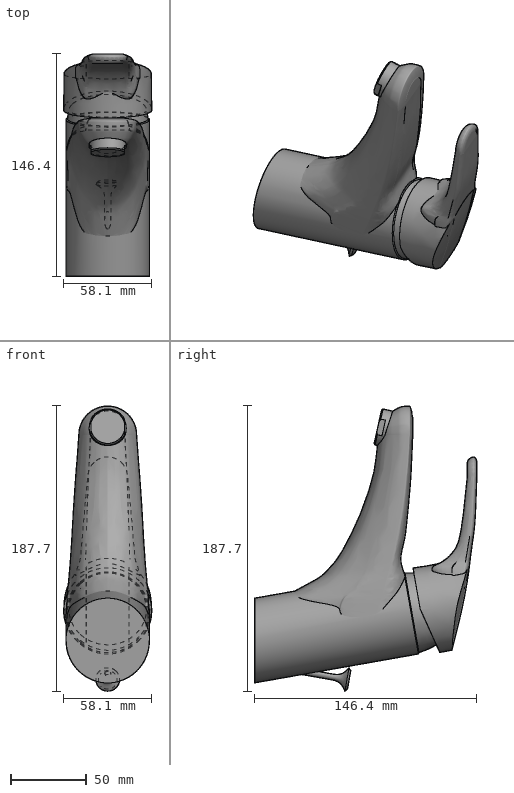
import cadquery as cq
import math


CORNER_STEPS = 4

TILT = 10.0
BODY_RADIUS = 27.5
BODY_END = 105.2
BODY_EDGE = 0.6
BODY_OVERRUN = 10.0
NECK_RADIUS = 26.6
NECK_TIP_RADIUS = 22.8
NECK_BULGE = 0.6
NECK_TIP = 119.0

CAP_RADIUS = 29.04
CAP_BACK_RADIUS = 28.5
CAP_FRONT = 110.95
CAP_BACK = 160.0
CAP_BEVEL_TOP = 1.5
CAP_BEVEL_RUN = 7.75
BACK_CROWN = 8.0
BACK_HALF_WIDTH = 34.0
BACK_FLAT = 0.05
BACK_FRONT_Y = 95.0

CAP_BACK_STATIONS = [(-20.0, 126.6), (0.0, 131.5), (20.0, 136.4), (40.0, 140.2), (60.0, 142.7)]

LEVER_FLAT = 0.68
LEVER_STATIONS = [
    (34.0, 22.5, 138.0, 135.0, 126.0),
    (42.0, 21.5, 140.0, 137.0, 120.0),
    (49.0, 19.5, 141.3, 138.3, 118.0),
    (53.0, 18.2, 141.9, 139.0, 125.2),
    (58.0, 17.5, 142.5, 139.8, 130.3),
    (63.0, 17.1, 143.2, 140.6, 133.4),
    (72.0, 16.4, 144.5, 142.1, 135.7),
    (90.0, 14.9, 145.7, 143.4, 138.1),
    (107.8, 13.0, 146.35, 144.2, 139.9),
]

SPOUT_BACK_FLAT = 0.35
SPOUT_STATIONS = [
    (4.0, 25.5, 90.0, 76.0, 20.0),
    (15.0, 27.4, 95.0, 79.5, 18.0),
    (24.0, 27.0, 98.0, 82.5, 13.5),
    (29.0, 26.7, 99.0, 84.0, 18.5),
    (33.0, 26.4, 99.5, 85.2, 27.3),
    (39.0, 25.9, 99.5, 86.7, 38.5),
    (44.0, 25.3, 98.5, 88.0, 45.7),
    (52.0, 24.7, 96.4, 90.2, 53.0),
    (62.0, 24.0, 97.7, 92.4, 59.4),
    (76.0, 23.2, 100.1, 95.2, 66.4),
    (96.0, 22.0, 102.0, 98.3, 74.3),
    (116.0, 20.5, 103.3, 100.4, 79.4),
    (135.2, 19.1, 104.2, 101.7, 82.0),
]

AERATOR_TILT = 12.5
AERATOR_RADIUS = 12.2
AERATOR_EDGE = 0.9
AERATOR_Y = 81.1
AERATOR_Z = 140.7
AERATOR_RIM = 5.2
AERATOR_ROOT = 9.0
FLAT_DISTANCE = 11.0
FLAT_LENGTH = 4.0

KNOB_TILT = -10.0
KNOB_Y = 62.3
KNOB_Z = -25.9
KNOB_RADIUS = 7.85
KNOB_FACE_RADIUS = 6.2
KNOB_LIP = 1.5
KNOB_LENGTH = 10.5
KNOB_FLARE = (-1.0, -0.6)
STEM_RADIUS = 2.0
STEM_LENGTH = 42.0


def rounded_corner(outline, start, end, corner, start_dir, end_dir):
    """Add a quarter-ellipse from start to end; corner is where its end tangents meet."""
    points = []
    for step in range(1, CORNER_STEPS + 1):
        angle = math.pi / 2 * step / CORNER_STEPS
        toward_start = 1 - math.sin(angle)
        toward_end = 1 - math.cos(angle)
        points.append(
            tuple(
                c + toward_start * (s - c) + toward_end * (e - c)
                for s, e, c in zip(start, end, corner)
            )
        )
    return outline.spline(points, tangents=[start_dir, end_dir], includeCurrent=True)


def limb_section(outline, half_width, back, rim, front, back_flat, front_flat):
    """Draw the +X half of a cross-section from its front middle round to its back middle."""
    front_edge = (front_flat * half_width, front)
    back_edge = (back_flat * half_width, back)
    side = (half_width, rim)
    outline = outline.moveTo(0, front)
    if front_flat:
        outline = outline.lineTo(*front_edge)
    outline = rounded_corner(outline, front_edge, side, (half_width, front), (1, 0), (0, 1))
    outline = rounded_corner(outline, side, back_edge, (half_width, back), (0, 1), (-1, 0))
    return outline.lineTo(0, back).close()


def crown_section(outline, back):
    """Draw the +X half of a block with a square front and a crowned back."""
    rim = back - BACK_CROWN
    side = (BACK_HALF_WIDTH, rim)
    back_edge = (BACK_FLAT * BACK_HALF_WIDTH, back)
    outline = outline.moveTo(0, BACK_FRONT_Y).lineTo(BACK_HALF_WIDTH, BACK_FRONT_Y).lineTo(*side)
    outline = rounded_corner(outline, side, back_edge, (BACK_HALF_WIDTH, back), (0, 1), (-1, 0))
    return outline.lineTo(0, back).close()


def mirrored_loft(stations, draw_section, *shape):
    """Loft +X half sections, each at its own height, and complete the solid across X = 0."""
    outlines = cq.Workplane("XY")
    height = 0.0
    for z, *sizes in stations:
        outlines = draw_section(outlines.workplane(offset=z - height), *sizes, *shape)
        height = z
    half = outlines.loft(combine=True)
    return half.union(half.mirror("YZ"))


def make_limb(stations, back_flat, front_flat):
    """Lofted limb whose top is rounded by turning its last section about a Y-parallel axis."""
    z, *sizes = stations[-1]
    tip_plane = cq.Workplane("XY").workplane(offset=z)
    tip = limb_section(tip_plane, *sizes, back_flat, front_flat).revolve(180, (0, 0, 0), (0, -1, 0))
    return mirrored_loft(stations, limb_section, back_flat, front_flat).union(tip)


def make_body():
    """Tilted cylinder with its domed neck, trimmed square at the inlet."""
    middle = ((NECK_RADIUS + NECK_TIP_RADIUS) / 2 + NECK_BULGE, (BODY_END + NECK_TIP) / 2)
    body = (
        cq.Workplane("XY")
        .moveTo(0, -BODY_OVERRUN)
        .lineTo(BODY_RADIUS, -BODY_OVERRUN)
        .lineTo(BODY_RADIUS, BODY_END - BODY_EDGE)
        .lineTo(NECK_RADIUS, BODY_END)
        .threePointArc(middle, (NECK_TIP_RADIUS, NECK_TIP))
        .lineTo(0, NECK_TIP)
        .close()
        .revolve(360, (0, 0, 0), (0, 1, 0))
        .rotate((0, 0, 0), (1, 0, 0), TILT)
    )
    trim_size = 4 * BODY_RADIUS
    trim = cq.Workplane("XY").box(trim_size, trim_size, trim_size).translate((0, -trim_size / 2, 0))
    return body.cut(trim)


def make_cap():
    """Slightly tapered cap on the body axis, bevelled below at the front, crowned at the back."""
    blank = (
        cq.Workplane("XY")
        .moveTo(0, CAP_FRONT)
        .lineTo(CAP_RADIUS, CAP_FRONT)
        .lineTo(CAP_BACK_RADIUS, CAP_BACK)
        .lineTo(0, CAP_BACK)
        .close()
        .revolve(360, (0, 0, 0), (0, 1, 0))
    )
    bevel = (
        cq.Workplane("YZ")
        .moveTo(CAP_FRONT, CAP_BEVEL_TOP)
        .lineTo(CAP_FRONT + CAP_BEVEL_RUN, -CAP_RADIUS)
        .lineTo(CAP_FRONT, -CAP_RADIUS)
        .close()
        .extrude(2 * CAP_RADIUS, both=True)
    )
    blank = blank.cut(bevel).rotate((0, 0, 0), (1, 0, 0), TILT)
    return blank.intersect(mirrored_loft(CAP_BACK_STATIONS, crown_section))


def make_aerator():
    """Short outlet ring with two wrench flats, built facing -Y and then tilted up."""
    length = AERATOR_RIM + AERATOR_ROOT
    ring = cq.Workplane("XZ").circle(AERATOR_RADIUS).extrude(-length).faces("<Y").chamfer(AERATOR_EDGE)
    for side in (-1, 1):
        flat = cq.Workplane("XY").box(AERATOR_RADIUS, 2 * FLAT_LENGTH, 2 * AERATOR_RADIUS)
        ring = ring.cut(flat.translate((side * (FLAT_DISTANCE + AERATOR_RADIUS / 2), 0, 0)))
    return ring.rotate((0, 0, 0), (1, 0, 0), -AERATOR_TILT).translate((0, AERATOR_Y, AERATOR_Z))


def make_knob():
    """Trumpet-shaped pull knob on a thin stem, built along Y with its end face at the origin."""
    return (
        cq.Workplane("XY")
        .lineTo(KNOB_FACE_RADIUS, 0)
        .lineTo(KNOB_RADIUS, -KNOB_LIP)
        .spline([(STEM_RADIUS, -KNOB_LENGTH)], tangents=[KNOB_FLARE, (0, -1)], includeCurrent=True)
        .lineTo(STEM_RADIUS, -STEM_LENGTH)
        .lineTo(0, -STEM_LENGTH)
        .close()
        .revolve(360, (0, 0, 0), (0, 1, 0))
        .rotate((0, 0, 0), (1, 0, 0), KNOB_TILT)
        .translate((0, KNOB_Y, KNOB_Z))
    )


body = make_body()
cap = make_cap()
lever = make_limb(LEVER_STATIONS, LEVER_FLAT, LEVER_FLAT)
spout = make_limb(SPOUT_STATIONS, SPOUT_BACK_FLAT, 0)
result = body.union(cap).union(lever).union(spout).union(make_aerator()).union(make_knob())